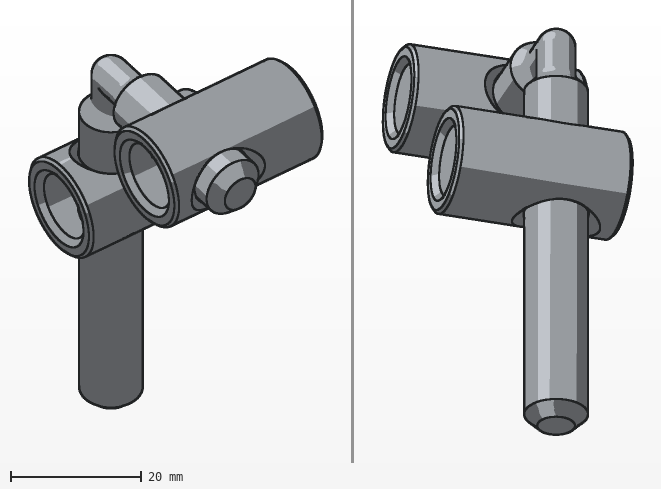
import cadquery as cq
import math

rod_diameter = 9.8
neck_diameter = 6.0
shoulder_distance = 7.5
neck_fillet = 2.0
tip_chamfer = 2.0
long_arm = 66.0
short_arm = 34.0

sleeve_diameter = 16.8
sleeve_distance = 22.5
sleeve_front = -9.8
sleeve_length = 28.0
sleeve_chamfer = 0.5
bore_diameter = 10.8
bore_chamfer = 1.05
cross_hole_diameter = 10.05
countersink_diameter = 13.85

rod_radius = rod_diameter / 2
neck_radius = neck_diameter / 2
sleeve_radius = sleeve_diameter / 2
sleeve_back = sleeve_front + sleeve_length

plug_front = rod_radius
plug_length = sleeve_back - bore_chamfer - plug_front


def along_y(diameter, start, length):
    """Cylinder on the Y axis, from y = start to y = start + length."""
    plane = cq.Plane(origin=(0, start, 0), xDir=(1, 0, 0), normal=(0, 1, 0))
    return cq.Workplane(plane).circle(diameter / 2).extrude(length)


def make_arm(length):
    """Necked arm that points down from the origin."""
    corner = shoulder_distance - (rod_radius - neck_radius)
    tangent = neck_fillet * math.tan(math.radians(22.5))
    shift = tangent * math.sqrt(0.5)
    return (
        cq.Workplane("XZ")
        .lineTo(neck_radius, 0)
        .lineTo(neck_radius, tangent - corner)
        .tangentArcPoint((neck_radius + shift, -corner - shift), relative=False)
        .lineTo(rod_radius, -shoulder_distance)
        .lineTo(rod_radius, tip_chamfer - length)
        .lineTo(rod_radius - tip_chamfer, -length)
        .lineTo(0, -length)
        .close()
        .revolve(360, (0, 0, 0), (0, 1, 0))
    )


def turn_to_x(body):
    """Turn a body from the downward arm to the arm along +X."""
    return body.rotate((0, 0, 0), (0, 1, 0), -90)


def make_bent_rod():
    """Two arms at a right angle with a ball at the bend."""
    ball = cq.Workplane("XY").sphere(neck_radius)
    return make_arm(long_arm).union(turn_to_x(make_arm(short_arm))).union(ball)


def make_sleeve():
    """Sleeve around the downward arm, with a bore and a countersunk cross hole."""
    sleeve = along_y(sleeve_diameter, sleeve_front, sleeve_length).faces("<Y or >Y").chamfer(sleeve_chamfer)
    bore = along_y(bore_diameter, sleeve_front, sleeve_length)
    sleeve = sleeve.cut(bore).faces("<Y or >Y").edges("%CIRCLE").edges(
        cq.selectors.RadiusNthSelector(0)
    ).chamfer(bore_chamfer)

    hole_radius = cross_hole_diameter / 2
    mouth_radius = countersink_diameter / 2
    sink_start = sleeve_radius - (mouth_radius - hole_radius)
    cross_hole = (
        cq.Workplane("XZ")
        .moveTo(0, -sleeve_radius)
        .lineTo(mouth_radius, -sleeve_radius)
        .lineTo(hole_radius, -sink_start)
        .lineTo(hole_radius, sink_start)
        .lineTo(mouth_radius, sleeve_radius)
        .lineTo(0, sleeve_radius)
        .close()
        .revolve(360, (0, 0, 0), (0, 1, 0))
    )
    return sleeve.cut(cross_hole).translate((0, 0, -sleeve_distance))


def make_plug():
    """Plain plug that bears on the downward arm inside its sleeve."""
    return along_y(bore_diameter, plug_front, plug_length).translate((0, 0, -sleeve_distance))


bent_rod = make_bent_rod()
sleeves = []
plugs = []
for on_short_arm in (False, True):
    sleeve = make_sleeve()
    plug = make_plug()
    if on_short_arm:
        sleeve = turn_to_x(sleeve)
        plug = turn_to_x(plug)
    sleeves.append(sleeve.val())
    plugs.append(plug.val())

result = cq.Compound.makeCompound([bent_rod.val(), *sleeves, *plugs])